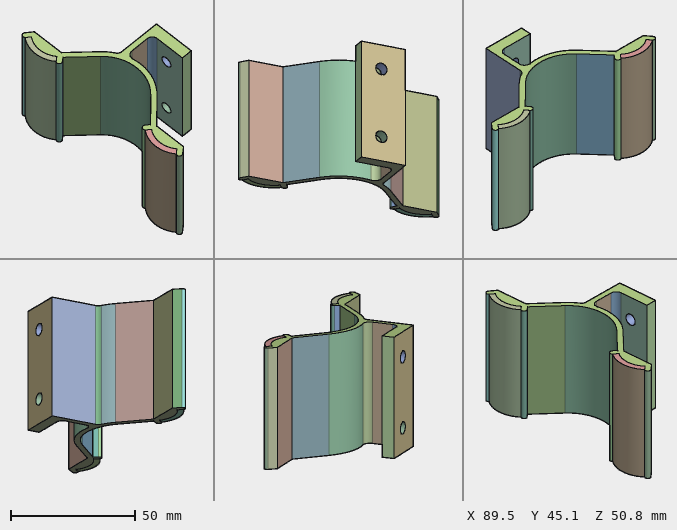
import cadquery as cq
import math

height = 50.8
half_width = 44.75

wall = 2.5
arch_radius = 19.6
arch_crown_y = 23.45
arm_angle = 46.2
arm_inner_end_x = 24.6

pad_inner_radius = 11.6
pad_thickness = 2.6
pad_half_angle = 38.0
lip_radius = 1.25
lip_reach = 14.05
holder_top_y = 7.8

hook_top_y = 45.1
hook_left_x = -9.8
hook_length = 19.7
hook_wall = 2.7
hook_flange = 5.2
hook_inner_fillet = 2.8
hook_outer_fillet = 2.3
screw_hole_radius = 2.5
screw_hole_x = 0.9
screw_hole_end_distance = 10.6

arch_outer_radius = arch_radius + wall
arch_center_y = arch_crown_y - arch_radius
pad_outer_radius = pad_inner_radius + pad_thickness
pad_axis_y = pad_outer_radius
lip_angle = pad_half_angle + math.degrees(math.asin(lip_radius / lip_reach))
lip_center_x = lip_reach * math.sin(math.radians(lip_angle))
lip_center_y = pad_axis_y - lip_reach * math.cos(math.radians(lip_angle))
pad_center_x = half_width - lip_center_x - lip_radius


def arch_point(radius, angle):
    """Point on a circle about the arch axis, angle in degrees from +Y towards +X."""
    turn = math.radians(angle)
    return radius * math.sin(turn), arch_center_y + radius * math.cos(turn)


def pad_point(radius, angle):
    """Point about the axis of a pad centred on X = 0, angle in degrees from -Y towards +X."""
    turn = math.radians(angle)
    return radius * math.sin(turn), pad_axis_y - radius * math.cos(turn)


def mirrored(point):
    """The point reflected in the plane X = 0."""
    return -point[0], point[1]


def pad_profile():
    """Curved strip between two radial ends, centred on X = 0."""
    inner_end = pad_point(pad_inner_radius, pad_half_angle)
    outer_end = pad_point(pad_outer_radius, pad_half_angle)
    return (
        cq.Workplane("XY")
        .moveTo(*mirrored(inner_end))
        .threePointArc(pad_point(pad_inner_radius, 0), inner_end)
        .lineTo(*outer_end)
        .threePointArc(pad_point(pad_outer_radius, 0), mirrored(outer_end))
        .close()
    )


def pad(side):
    """Pad on the left (side = -1) or the right (side = 1)."""
    return pad_profile().extrude(height).translate((side * pad_center_x, 0, 0))


def holder(side):
    """Flat-topped pad holder with a rounded lip at each end of the pad seat."""
    turn = math.radians(pad_half_angle)
    along = (math.sin(turn), -math.cos(turn))
    across = (math.cos(turn), math.sin(turn))
    seat_end = pad_point(pad_inner_radius, pad_half_angle)
    lip_inner = (lip_center_x - lip_radius * across[0], lip_center_y - lip_radius * across[1])
    lip_outer = (lip_center_x + lip_radius * across[0], lip_center_y + lip_radius * across[1])
    lip_tip = (lip_center_x + lip_radius * along[0], lip_center_y + lip_radius * along[1])
    top_corner = (lip_outer[0] - (holder_top_y - lip_outer[1]) * math.tan(turn), holder_top_y)
    return (
        cq.Workplane("XY")
        .moveTo(*mirrored(seat_end))
        .threePointArc(pad_point(pad_inner_radius, 0), seat_end)
        .lineTo(*lip_inner)
        .threePointArc(lip_tip, lip_outer)
        .lineTo(*top_corner)
        .lineTo(*mirrored(top_corner))
        .lineTo(*mirrored(lip_outer))
        .threePointArc(mirrored(lip_tip), mirrored(lip_inner))
        .close()
        .extrude(height)
        .translate((side * pad_center_x, 0, 0))
    )


def arched_arm():
    """Arch with a straight tangent arm down each side, ending inside the holders."""
    turn = math.radians(arm_angle)
    inner_start = arch_point(arch_radius, arm_angle)
    outer_start = arch_point(arch_outer_radius, arm_angle)
    inner_end = (arm_inner_end_x, inner_start[1] - (arm_inner_end_x - inner_start[0]) * math.tan(turn))
    outer_end = (outer_start[0] + (outer_start[1] - holder_top_y) / math.tan(turn), holder_top_y)
    return (
        cq.Workplane("XY")
        .moveTo(*mirrored(inner_end))
        .lineTo(*mirrored(inner_start))
        .threePointArc(arch_point(arch_radius, 0), inner_start)
        .lineTo(*inner_end)
        .lineTo(*outer_end)
        .lineTo(*outer_start)
        .threePointArc(arch_point(arch_outer_radius, 0), mirrored(outer_start))
        .lineTo(*mirrored(outer_end))
        .close()
        .extrude(height)
    )


def arch_outer_y(x):
    """Height of the outer face of the arch at x."""
    return arch_center_y + math.sqrt(arch_outer_radius**2 - x**2)


def hook():
    """L-shaped hook whose upright stands in the thickness of the arch."""
    inner_x = hook_left_x + hook_wall
    foot_y = arch_outer_y(hook_left_x) - wall / 2
    return (
        cq.Workplane("XY")
        .moveTo(hook_left_x, foot_y)
        .lineTo(hook_left_x, hook_top_y)
        .lineTo(hook_left_x + hook_length, hook_top_y)
        .lineTo(hook_left_x + hook_length, hook_top_y - hook_flange)
        .lineTo(inner_x, hook_top_y - hook_flange)
        .lineTo(inner_x, foot_y)
        .close()
        .extrude(height)
    )


def fillet_upright_edge(body, x, y, radius):
    """Round the edge along Z that passes through (x, y)."""
    edge = cq.selectors.NearestToPointSelector((x, y, height / 2))
    return body.edges("|Z").edges(edge).fillet(radius)


def screw_hole(z):
    """Cutter along Y through the hook flange at height z."""
    return (
        cq.Workplane("XZ", origin=(screw_hole_x, hook_top_y, z))
        .circle(screw_hole_radius)
        .extrude(hook_flange)
    )


def bracket():
    """Arch, pad holders and hook as one profile, with rounded hook corners and two screw holes."""
    body = arched_arm().union(hook())
    for side in (-1, 1):
        body = body.union(holder(side))
    inner_x = hook_left_x + hook_wall
    body = fillet_upright_edge(body, inner_x, hook_top_y - hook_flange, hook_inner_fillet)
    body = fillet_upright_edge(body, inner_x, arch_outer_y(inner_x), hook_inner_fillet)
    body = fillet_upright_edge(body, hook_left_x, arch_outer_y(hook_left_x), hook_outer_fillet)
    for z in (screw_hole_end_distance, height - screw_hole_end_distance):
        body = body.cut(screw_hole(z))
    return body


clip_bracket = bracket()
pads = [pad(side) for side in (-1, 1)]

result = cq.Compound.makeCompound([clip_bracket.val(), *[strip.val() for strip in pads]])